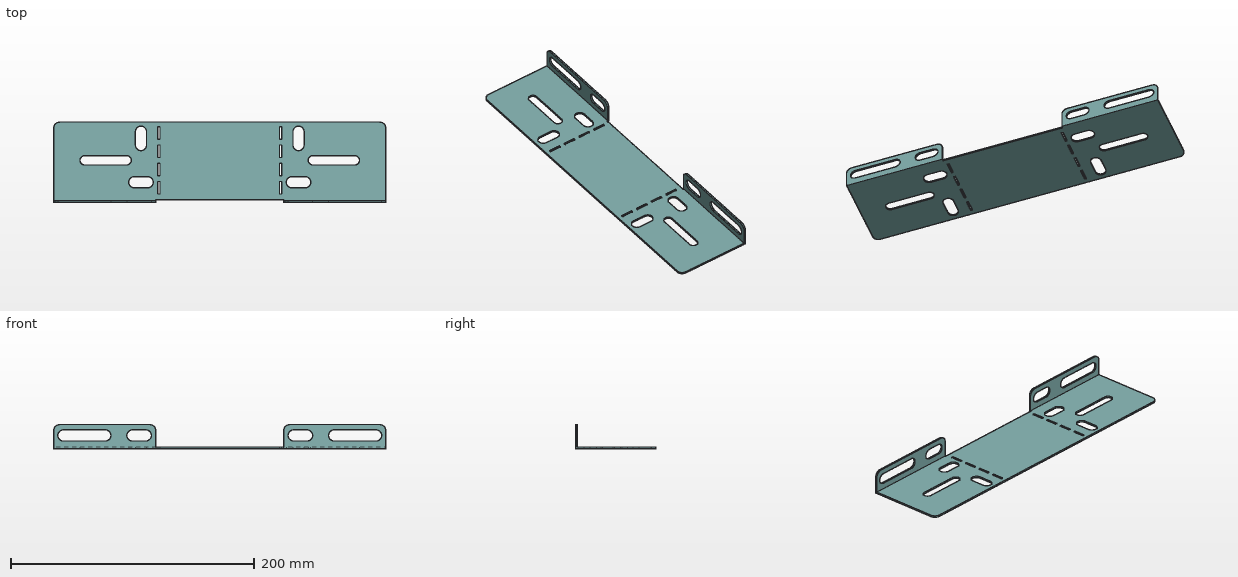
import cadquery as cq

length = 273.0
depth = 66.0
height = 20.0
thickness = 1.5
corner_radius = 5.0

flange_length = 84.0
web_setback = 2.0

slot_length = 20.0
slot_width = 9.0
slot_x = 64.75
pattern_y = 34.5
slot_offset_y = 18.0
long_slot_length = 42.0
long_slot_width = 7.5
long_slot_x = 93.75

perforation_length = 10.0
perforation_width = 1.5
perforation_pitch = 15.0
perforation_count = 4
perforation_x = 50.0

flange_slot_z = 11.0
flange_slot_x = 66.25
flange_long_slot_length = 43.5
flange_long_slot_x = 111.25

SIDES = (-1, 1)


def make_base():
    """Flat plate with rounded rear corners and a set-back front edge between the flanges."""
    plate = cq.Workplane("XY").box(length, depth, thickness, centered=(True, False, False))
    plate = plate.edges("|Z and >Y").fillet(corner_radius)
    web_length = length - 2 * flange_length
    notch = cq.Workplane("XY").box(web_length, web_setback, thickness, centered=(True, False, False))
    return plate.cut(notch)


def make_flange(side):
    """Upright flange at one end, with both top corners rounded."""
    center_x = side * (length - flange_length) / 2
    flange = cq.Workplane("XY").box(flange_length, thickness, height, centered=(True, False, False))
    return flange.edges("|Y and >Z").fillet(corner_radius).translate((center_x, 0, 0))


def base_cutters(side):
    """Slots and the perforation row on one side of the base."""
    plane = cq.Workplane("XY")
    rear_slot = (
        plane.center(side * slot_x, pattern_y + slot_offset_y)
        .slot2D(slot_length, slot_width, 90)
        .extrude(thickness)
    )
    front_slot = (
        plane.center(side * slot_x, pattern_y - slot_offset_y)
        .slot2D(slot_length, slot_width)
        .extrude(thickness)
    )
    long_slot = (
        plane.center(side * long_slot_x, pattern_y)
        .slot2D(long_slot_length, long_slot_width)
        .extrude(thickness)
    )
    perforations = (
        plane.center(side * perforation_x, pattern_y)
        .rarray(perforation_width, perforation_pitch, 1, perforation_count)
        .rect(perforation_width, perforation_length)
        .extrude(thickness)
    )
    return [rear_slot, front_slot, long_slot, perforations]


def flange_slot(x, total_length):
    """Horizontal slot through a flange; the XZ plane faces -Y, so it is extruded backwards."""
    return (
        cq.Workplane("XZ")
        .center(x, flange_slot_z)
        .slot2D(total_length, slot_width)
        .extrude(-thickness)
    )


result = make_base()
for side in SIDES:
    result = result.union(make_flange(side))
for side in SIDES:
    for cutter in base_cutters(side):
        result = result.cut(cutter)
    result = result.cut(flange_slot(side * flange_slot_x, slot_length))
    result = result.cut(flange_slot(side * flange_long_slot_x, flange_long_slot_length))
result = result.translate((0, -depth / 2, 0))